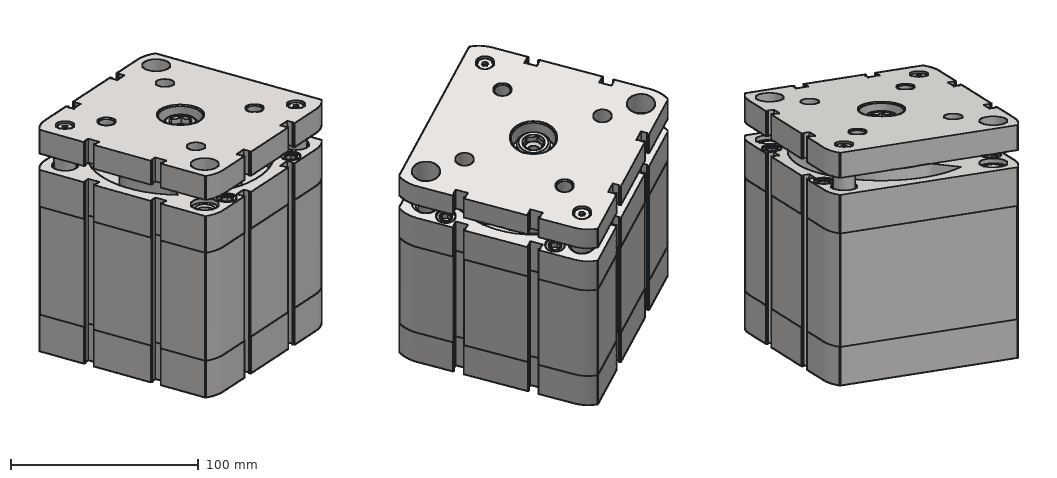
import cadquery as cq
import math

side = 113.5
half = side / 2
total_height = 130.8
housing_height = 107.1
plate_thickness = 14.1
plate_bottom = total_height - plate_thickness
cap_height = 21.7
barrel_inset = 0.1

corner_radius = 20.0
corner_arc_start = 45.0
corner_arc_end_x = 53.2
corner_bevel_end_x = 52.6

slot_offset = 21.3
slot_opening = 5.5
slot_width = 6.9
slot_depth = 4.8
slot_lip = 1.2
slot_mouth_chamfer = 0.4

corner_offset = 44.5
guide_diameter = 12.0
guide_relief_diameter = 14.0
guide_relief_depth = 1.3
rod_engagement = 78.5
access_diameter = 15.0
access_depth = 2.6
mount_diameter = 8.5
mount_rim_diameter = 10.7

rod_end_hole = 10.0
rod_end_diameter = 8.4
rod_end_recess = 0.9
rod_end_gap_depth = 2.0
rod_end_socket = 3.4
rod_end_socket_depth = 2.0

plate_hole_offset = 28.5
dowel_diameter = 10.0
thread_diameter = 8.5
thread_rim_diameter = 10.0

bore_diameter = 24.0
bore_rim_diameter = 25.4
bore_depth = 10.5
tip_recess = 4.7
tip_diameter = 18.0
tip_top_diameter = 15.8
tip_chamfer = (tip_diameter - tip_top_diameter) / 2
tip_shoulder = total_height - tip_recess
tip_top = tip_shoulder + tip_chamfer
socket_flats = 10.0
socket_rim_diameter = 12.0
socket_depth = 4.2
drill_diameter = 6.0
drill_depth = 5.2
drill_point_angle = 118.0

rod_diameter = 20.0
rod_flats = 17.4
rod_flat_bottom = 110.0

pocket_diameter = 100.0
pocket_depth = 15.7
hub_radius = 31.4
rib_half_width = 11.8
rib_fillet = 5.2
pocket_draft = 5.0
rib_angle = -45.0

screw_x = 49.8
screw_y = 31.1
screw_rim_diameter = 10.7
screw_hole_diameter = 10.0
screw_head_recess = 0.5
screw_socket = 6.0
screw_socket_rim = 7.0
screw_socket_depth = 3.9

guide_points = [(-corner_offset, -corner_offset), (corner_offset, corner_offset)]
access_points = [(-corner_offset, corner_offset), (corner_offset, -corner_offset)]
thread_points = [(-plate_hole_offset, -plate_hole_offset), (plate_hole_offset, plate_hole_offset)]
dowel_points = [(-plate_hole_offset, plate_hole_offset), (plate_hole_offset, -plate_hole_offset)]
screw_points = [(sx * screw_x, sy * screw_y) for sx in (-1, 1) for sy in (-1, 1)]


def cylinder(diameter, bottom, top):
    return cq.Workplane("XY", origin=(0, 0, bottom)).circle(diameter / 2).extrude(top - bottom)


def cone(bottom_diameter, top_diameter, bottom, top):
    base = cq.Vector(0, 0, bottom)
    return cq.Workplane(cq.Solid.makeCone(bottom_diameter / 2, top_diameter / 2, top - bottom, base))


def countersink(hole_diameter, rim_diameter, top):
    """45 degree cone that widens a hole to its rim."""
    return cone(hole_diameter, rim_diameter, top - (rim_diameter - hole_diameter) / 2, top)


def hexagon(across_corners, bottom, top):
    return cq.Workplane("XY", origin=(0, 0, bottom)).polygon(6, across_corners).extrude(top - bottom)


def cut_at(body, tool, points):
    for x, y in points:
        body = body.cut(tool.translate((x, y, 0)))
    return body


def t_slot(edge, bottom, top):
    """Cutter for one T-slot that opens toward -Y at y = -edge."""
    mouth = slot_opening / 2 + slot_mouth_chamfer
    throat = slot_opening / 2
    wide = slot_width / 2
    chamfer_y = -edge + slot_mouth_chamfer
    lip_y = -edge + slot_lip
    floor_y = -edge + slot_depth
    right_side = [(mouth, -edge), (throat, chamfer_y), (throat, lip_y), (wide, lip_y), (wide, floor_y)]
    left_side = [(-x, y) for x, y in reversed(right_side)]
    profile = cq.Workplane("XY", origin=(0, 0, bottom)).polyline(right_side + left_side).close()
    return profile.extrude(top - bottom)


def slotted_block(bottom, top, inset=0.0):
    """Block with the common outline, its sides set in by `inset`, with slots on -Y and both X sides."""
    edge = half - inset
    arc_center_x = edge - corner_radius
    arc_end_x = corner_arc_end_x - inset
    end_angle = math.acos((arc_end_x - arc_center_x) / corner_radius)

    def arc_point(angle):
        return (
            arc_center_x + corner_radius * math.cos(angle),
            corner_arc_start + corner_radius * math.sin(angle),
        )

    quarter = (
        cq.Workplane("XY", origin=(0, 0, bottom))
        .lineTo(edge, 0)
        .lineTo(edge, corner_arc_start)
        .threePointArc(arc_point(end_angle / 2), arc_point(end_angle))
        .lineTo(corner_bevel_end_x - inset, edge)
        .lineTo(0, edge)
        .close()
        .extrude(top - bottom)
    )
    right_half = quarter.union(quarter.mirror("XZ"))
    body = right_half.union(right_half.mirror("YZ"))

    slot = t_slot(edge, bottom, top)
    for angle in (-90, 0, 90):
        for offset in (-slot_offset, slot_offset):
            placed = slot.translate((offset, 0, 0)).rotate((0, 0, 0), (0, 0, 1), angle)
            body = body.cut(placed)
    return body


def ribbed_pocket():
    """Round pocket around a drafted hub with two ribs that reach the pocket wall."""
    reach = pocket_diameter
    fillet_y = rib_half_width + rib_fillet
    fillet_x = math.sqrt((hub_radius + rib_fillet) ** 2 - fillet_y**2)
    to_hub = hub_radius / (hub_radius + rib_fillet)
    hub_x = fillet_x * to_hub
    hub_y = fillet_y * to_hub
    core = (
        cq.Workplane("XY", origin=(0, 0, housing_height))
        .moveTo(reach, -rib_half_width)
        .lineTo(reach, rib_half_width)
        .lineTo(fillet_x, rib_half_width)
        .tangentArcPoint((hub_x, hub_y), relative=False)
        .threePointArc((0, hub_radius), (-hub_x, hub_y))
        .tangentArcPoint((-fillet_x, rib_half_width), relative=False)
        .lineTo(-reach, rib_half_width)
        .lineTo(-reach, -rib_half_width)
        .lineTo(-fillet_x, -rib_half_width)
        .tangentArcPoint((-hub_x, -hub_y), relative=False)
        .threePointArc((0, -hub_radius), (hub_x, -hub_y))
        .tangentArcPoint((fillet_x, -rib_half_width), relative=False)
        .close()
        .extrude(-pocket_depth, taper=-pocket_draft)
        .rotate((0, 0, 0), (0, 0, 1), rib_angle)
    )
    return cylinder(pocket_diameter, housing_height - pocket_depth, housing_height).cut(core)


def guide_bore():
    bore = cylinder(guide_diameter, housing_height - rod_engagement, housing_height)
    return bore.union(cylinder(guide_relief_diameter, housing_height - guide_relief_depth, housing_height))


def mounting_hole():
    shoulder = housing_height - access_depth
    hole = cylinder(mount_diameter, 0, housing_height)
    hole = hole.union(cylinder(access_diameter, shoulder, housing_height))
    return hole.union(countersink(mount_diameter, mount_rim_diameter, shoulder))


def cover_screw():
    """Cutter for the chamfered recess over a screw head and for the hexagon socket in the head."""
    head_top = housing_height - screw_head_recess
    hole = cylinder(screw_hole_diameter, head_top, housing_height)
    hole = hole.union(countersink(screw_hole_diameter, screw_rim_diameter, housing_height))
    hole = hole.union(hexagon(screw_socket, head_top - screw_socket_depth, head_top))
    return hole.union(countersink(screw_socket, screw_socket_rim, head_top))


def make_housing():
    body = slotted_block(0, cap_height)
    body = body.union(slotted_block(cap_height, housing_height - cap_height, barrel_inset))
    body = body.union(slotted_block(housing_height - cap_height, housing_height))
    body = body.cut(ribbed_pocket())
    body = body.cut(cylinder(rod_diameter, housing_height - rod_engagement, housing_height))
    body = cut_at(body, guide_bore(), guide_points)
    body = cut_at(body, mounting_hole(), access_points)
    return cut_at(body, cover_screw(), screw_points)


def piston_rod():
    """Round rod with two wrench flats that run out at 45 degrees."""
    rod = cylinder(rod_diameter, housing_height - rod_engagement, plate_bottom)
    radius = rod_diameter / 2
    flat = rod_flats / 2
    flat_cut = (
        cq.Workplane("YZ", origin=(-radius, 0, 0))
        .moveTo(flat, plate_bottom)
        .lineTo(flat, rod_flat_bottom)
        .lineTo(radius, rod_flat_bottom - (radius - flat))
        .lineTo(radius, plate_bottom)
        .close()
        .extrude(rod_diameter)
    )
    return rod.cut(flat_cut).cut(flat_cut.mirror("XZ"))


def rod_end():
    """Cutter that leaves the end of a guide rod with a hexagon socket inside its hole."""
    end_top = total_height - rod_end_recess
    hole = cylinder(rod_end_hole, total_height - rod_end_gap_depth, total_height)
    hole = hole.cut(cylinder(rod_end_diameter, 0, end_top))
    return hole.union(hexagon(rod_end_socket, end_top - rod_end_socket_depth, end_top))


def centre_bore():
    """Cutter for the plate bore that leaves the chamfered rod tip standing in it."""
    bore = cylinder(bore_diameter, total_height - bore_depth, total_height)
    bore = bore.union(countersink(bore_diameter, bore_rim_diameter, total_height))
    bore = bore.cut(cylinder(tip_diameter, 0, tip_shoulder))
    return bore.cut(cone(tip_diameter, tip_top_diameter, tip_shoulder, tip_top))


def tip_socket():
    """Hexagon socket with a drilled centre hole below it."""
    point_slope = math.tan(math.radians(drill_point_angle / 2))
    socket_bottom = tip_top - socket_depth
    drill_top = socket_bottom - (socket_flats - drill_diameter) / 2 / point_slope
    drill_bottom = drill_top - drill_depth
    point = drill_bottom - drill_diameter / 2 / point_slope
    socket = hexagon(socket_flats / math.cos(math.pi / 6), socket_bottom, tip_top)
    socket = socket.union(countersink(socket_flats, socket_rim_diameter, tip_top))
    socket = socket.union(cone(drill_diameter, socket_flats, drill_top, socket_bottom))
    socket = socket.union(cylinder(drill_diameter, drill_bottom, drill_top))
    return socket.union(cone(0, drill_diameter, point, drill_bottom))


def make_carriage():
    body = slotted_block(plate_bottom, total_height)
    body = body.union(piston_rod())
    guide_rod = cylinder(guide_diameter, housing_height - rod_engagement, plate_bottom)
    for x, y in guide_points:
        body = body.union(guide_rod.translate((x, y, 0)))
    body = cut_at(body, cylinder(access_diameter, plate_bottom, total_height), access_points)
    body = cut_at(body, cylinder(dowel_diameter, plate_bottom, total_height), dowel_points)
    thread = cylinder(thread_diameter, plate_bottom, total_height)
    thread = thread.union(countersink(thread_diameter, thread_rim_diameter, total_height))
    body = cut_at(body, thread, thread_points)
    body = cut_at(body, rod_end(), guide_points)
    return body.cut(centre_bore()).cut(tip_socket())


housing = make_housing()
carriage = make_carriage()
result = cq.Compound.makeCompound([housing.solids().val(), carriage.solids().val()])